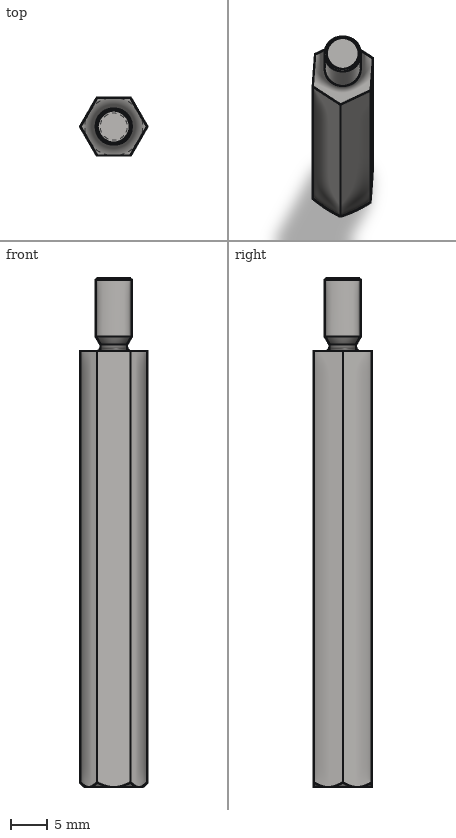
import cadquery as cq
import math

total_length = 70.0
stud_length = 10.0
across_flats = 8.0
body_length = total_length - stud_length
across_corners = across_flats / math.cos(math.pi / 6)

stud_radius = 5.0 / 2
neck_radius = 3.7 / 2
tip_chamfer = 0.3
neck_fillet = 0.4
neck_land = 0.5
undercut_angle = math.radians(30)

foot_radius = across_flats / 2
foot_chamfer_height = 0.6


def hex_body():
    """Hexagonal bar with corners on the X axis, trimmed by a cone at its foot."""
    hexagon = cq.Workplane("XY").polygon(6, across_corners).extrude(body_length)
    corner_radius = across_corners / 2
    trim_profile = [
        (0, 0),
        (foot_radius, 0),
        (corner_radius, foot_chamfer_height),
        (corner_radius, body_length),
        (0, body_length),
    ]
    trim = cq.Workplane("XZ").polyline(trim_profile).close().revolve(360, (0, 0), (0, 1))
    return hexagon.intersect(trim)


def stud():
    """Round stud with a chamfered tip, a tapered undercut and a filleted neck."""
    fillet_top = body_length + neck_fillet
    taper_bottom = fillet_top + neck_land
    taper_top = taper_bottom + (stud_radius - neck_radius) / math.tan(undercut_angle)
    fillet_offset = neck_fillet * (1 - math.sqrt(0.5))
    return (
        cq.Workplane("XZ")
        .moveTo(0, body_length)
        .lineTo(neck_radius + neck_fillet, body_length)
        .threePointArc(
            (neck_radius + fillet_offset, body_length + fillet_offset),
            (neck_radius, fillet_top),
        )
        .lineTo(neck_radius, taper_bottom)
        .lineTo(stud_radius, taper_top)
        .lineTo(stud_radius, total_length - tip_chamfer)
        .lineTo(stud_radius - tip_chamfer, total_length)
        .lineTo(0, total_length)
        .close()
        .revolve(360, (0, 0), (0, 1))
    )


result = hex_body().union(stud())